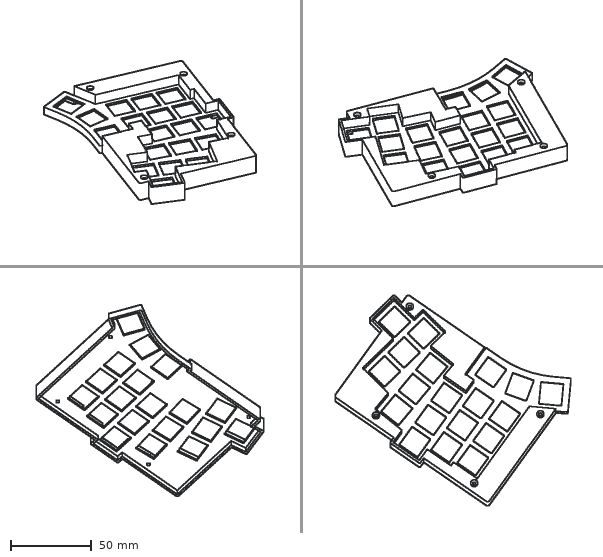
import cadquery as cq
import math

case_height = 12.5
plate_top = 5.6
plate_thickness = 1.5
wall = 1.5

block_length = 116.5
block_width = 78.9
block_corner_radius = 1.5
bump_corner_radius = 0.5

key_size = 13.8
row_pitch = 17.0
rows_per_column = 3
pocket_half_x = 9.8
pocket_half_y = 9.2
pocket_x = 2 * pocket_half_x
pocket_y = 2 * pocket_half_y
column_length = (rows_per_column - 1) * row_pitch + pocket_y
key_cell_x = pocket_x + 2 * wall
key_cell_y = pocket_y + 2 * wall
fan_gap_fill = 4.0
fan_gap_rows = 2

columns = [
    (24.1, 44.2, 0),
    (42.0, 46.9, 0),
    (60.0, 55.4, 0),
    (79.6, 45.3, 4),
    (98.1, 30.0, 10),
]
tall_column = columns[2]
last_column = columns[4]

side_key_right = 17.8
side_key_drop = 9.5

fan_center_x = 47.1
fan_center_y = -67.5
fan_radius = 76.8
fan_step = 15
thumb_key_count = 3
thumb_front_margin = 10.9

screw_diameter = 2.0
screw_head_diameter = 4.4
screw_head_angle = 90
screw_points = [(14.1, 73.9), (88.4, 73.9), (5.9, 14.6), (111.0, 5.6)]


def shifted(pose, right, up):
    """Move a pose (X, Y, clockwise tilt) along its own tilted axes."""
    x, y, tilt = pose
    angle = math.radians(tilt)
    return (
        x + right * math.cos(angle) + up * math.sin(angle),
        y - right * math.sin(angle) + up * math.cos(angle),
        tilt,
    )


def prism(pose, size_x, size_y, bottom, top):
    """Rectangular block centred on a pose."""
    x, y, tilt = pose
    block = cq.Workplane("XY").rect(size_x, size_y).extrude(top - bottom)
    return block.rotate((0, 0, 0), (0, 0, 1), -tilt).translate((x, y, bottom))


def thumb_pose(index):
    """Pose of a thumb key, counted leftwards from the upright one."""
    return shifted((fan_center_x, fan_center_y, -index * fan_step), 0, fan_radius)


def rounded_cell(pose):
    """Full-height bump around a key that overhangs the main block."""
    return prism(pose, key_cell_x, key_cell_y, 0, case_height).edges("|Z").fillet(bump_corner_radius)


def thumb_slab(bottom, top):
    """Thumb cluster outline: fan-shaped front edge, straight ends."""
    first = thumb_pose(0)
    last = thumb_pose(thumb_key_count - 1)
    arc_pose = (fan_center_x, fan_center_y, 0)
    arc_radius = fan_radius - thumb_front_margin
    arc_tilt = last[2]
    arc_start = shifted(arc_pose, 0, arc_radius)[:2]
    arc_middle = shifted(arc_pose[:2] + (arc_tilt / 2,), 0, arc_radius)[:2]
    arc_end = shifted(arc_pose[:2] + (arc_tilt,), 0, arc_radius)[:2]

    right_x = first[0] + key_cell_x / 2
    top_y = columns[1][1] - column_length / 2
    left_x = columns[0][0] - pocket_half_x
    end_front = shifted(last, -key_cell_x / 2, -thumb_front_margin)[:2]
    end_back = shifted(last, -key_cell_x / 2, key_cell_y / 2)[:2]
    back_y = end_back[1] + (left_x - end_back[0]) * math.tan(math.radians(-arc_tilt))

    slab = (
        cq.Workplane("XY")
        .moveTo(right_x, arc_start[1])
        .lineTo(*arc_start)
        .threePointArc(arc_middle, arc_end)
        .lineTo(*end_front)
        .lineTo(*end_back)
        .lineTo(left_x, back_y)
        .lineTo(left_x, top_y)
        .lineTo(right_x, top_y)
        .close()
        .extrude(top - bottom)
    )
    slab = slab.edges("|Z").edges("<X").fillet(bump_corner_radius)
    slab = slab.edges("|Z").edges("<Y").fillet(bump_corner_radius)
    slab = slab.edges("|Z").edges(">X").edges("<Y").fillet(bump_corner_radius)
    return slab.translate((0, 0, bottom))


row_offsets = [(row - (rows_per_column - 1) / 2) * row_pitch for row in range(rows_per_column)]
side_key = shifted(last_column, side_key_right, -side_key_drop)
top_tall_key = shifted(tall_column, 0, row_offsets[-1])
thumb_keys = [thumb_pose(index) for index in range(thumb_key_count)]
finger_keys = [shifted(column, 0, offset) for column in columns for offset in row_offsets]
all_keys = finger_keys + [side_key] + thumb_keys

raised_body = (
    cq.Workplane("XY")
    .rect(block_length, block_width)
    .extrude(case_height)
    .edges("|Z")
    .fillet(block_corner_radius)
    .translate((block_length / 2, block_width / 2, 0))
    .union(rounded_cell(top_tall_key))
    .union(rounded_cell(side_key))
)
body = raised_body.union(thumb_slab(0, plate_top))

cavity = (
    body.faces("<Z")
    .wires()
    .toPending()
    .offset2D(-wall, "intersection")
    .extrude(plate_top - plate_thickness, combine=False)
)

pockets = thumb_slab(plate_top, case_height)
for column in columns:
    pockets = pockets.union(prism(column, pocket_x, column_length, plate_top, case_height))
    if column[2]:
        for offset in row_offsets[-fan_gap_rows:]:
            widened_cell = shifted(column, -fan_gap_fill / 2, offset)
            pockets = pockets.union(
                prism(widened_cell, pocket_x + fan_gap_fill, pocket_y, plate_top, case_height)
            )
pockets = pockets.union(prism(side_key, pocket_x, pocket_y, plate_top, case_height))

result = body.cut(pockets).cut(cavity)

for key in all_keys:
    result = result.cut(prism(key, key_size, key_size, 0, plate_top))

screw_holes = cq.Workplane("XY").pushPoints(screw_points).circle(screw_diameter / 2).extrude(case_height)
result = result.cut(screw_holes)
head_depth = (screw_head_diameter - screw_diameter) / 2 / math.tan(math.radians(screw_head_angle / 2))
for x, y in screw_points:
    head = cq.Solid.makeCone(
        screw_diameter / 2, screw_head_diameter / 2, head_depth, cq.Vector(x, y, case_height - head_depth)
    )
    result = result.cut(cq.Workplane(head))